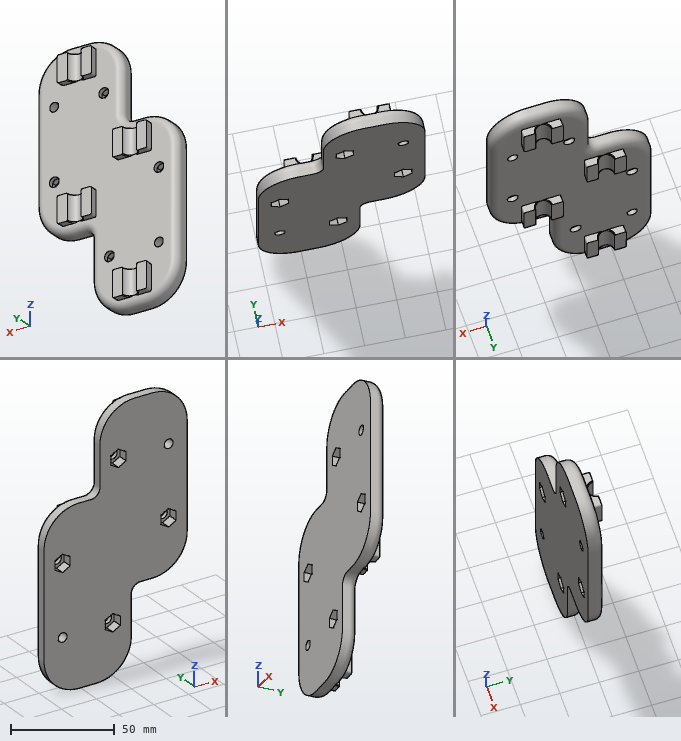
import cadquery as cq

lobe_width = 50.0
lobe_height = 100.0
upper_shift_x = 32.0
upper_shift_z = 48.0
lobe_corner_radius = 20.0
inner_corner_radius = 5.0
lower_center = (-upper_shift_x / 2, -upper_shift_z / 2)
upper_center = (upper_shift_x / 2, upper_shift_z / 2)

plate_thickness = 8.0
rim_radius = plate_thickness / 2

pad_width = 20.0
pad_height = 15.0
pad_depth = 4.0
pad_corner_radius = 1.0
pad_end_margin = 5.0
pad_offset_z = (lobe_height - pad_height) / 2 - pad_end_margin
groove_radius = pad_depth
groove_flare = 0.5

hole_offset_x = 14.4
hole_offset_z = 20.0
plain_hole_diameter = 5.0
nut_hole_diameter = 5.5
nut_corner_diameter = 9.9
nut_pocket_depth = 5.5


def plane_at(y):
    """Workplane with local axes X and Z at the given Y; negative extrusions run towards +Y."""
    return cq.Workplane("XZ", origin=(0, y, 0))


def make_plate():
    plate = plane_at(0).pushPoints([lower_center, upper_center])
    plate = plate.rect(lobe_width, lobe_height).extrude(-plate_thickness)

    corner_x = (lobe_width - upper_shift_x) / 2
    corner_z = (lobe_height - upper_shift_z) / 2
    clearance = 1.5
    near_middle = cq.selectors.BoxSelector(
        (-corner_x - clearance, -clearance, -corner_z - clearance),
        (corner_x + clearance, plate_thickness + clearance, corner_z + clearance),
    )
    all_corners = cq.selectors.ParallelDirSelector(cq.Vector(0, 1, 0))
    inner_corners = cq.selectors.AndSelector(all_corners, near_middle)
    outer_corners = cq.selectors.SubtractSelector(all_corners, near_middle)

    plate = plate.edges(outer_corners).fillet(lobe_corner_radius)
    plate = plate.edges(inner_corners).fillet(inner_corner_radius)
    return plate.faces(">Y").edges().fillet(rim_radius)


def make_groove():
    """Round cable groove along Z, widened by a small chamfer at both ends of its pad."""
    half_length = pad_height / 2
    mouth_radius = groove_radius + groove_flare
    half_profile = [
        (0, -half_length),
        (mouth_radius, -half_length),
        (groove_radius, groove_flare - half_length),
        (groove_radius, half_length - groove_flare),
        (mouth_radius, half_length),
        (0, half_length),
    ]
    return plane_at(0).polyline(half_profile).close().revolve(360, (0, 0), (0, 1))


def make_pad():
    """Pad standing on the back of the plate, grooved down to the plate surface."""
    block = plane_at(plate_thickness).rect(pad_width, pad_height).extrude(-pad_depth)
    block = block.edges("|Y").fillet(pad_corner_radius)
    return block.cut(make_groove().translate((0, plate_thickness + pad_depth, 0)))


def make_through_hole(diameter):
    return plane_at(0).circle(diameter / 2).extrude(-plate_thickness)


def make_nut_hole():
    """Through hole with a hexagonal nut pocket in the front face, two hexagon corners along Z."""
    pocket = plane_at(0).polygon(6, nut_corner_diameter).extrude(-nut_pocket_depth)
    pocket = pocket.rotate((0, 0, 0), (0, 1, 0), 30)
    return make_through_hole(nut_hole_diameter).union(pocket)


result = make_plate()

pad = make_pad()
for center_x, center_z in (lower_center, upper_center):
    for end in (-1, 1):
        result = result.union(pad.translate((center_x, 0, center_z + end * pad_offset_z)))

plain_hole = make_through_hole(plain_hole_diameter)
nut_hole = make_nut_hole()
for side, (center_x, center_z) in ((-1, lower_center), (1, upper_center)):
    outer_x = center_x + side * hole_offset_x
    inner_x = center_x - side * hole_offset_x
    outer_z = center_z + side * hole_offset_z
    inner_z = center_z - side * hole_offset_z
    result = result.cut(plain_hole.translate((outer_x, 0, outer_z)))
    result = result.cut(nut_hole.translate((inner_x, 0, outer_z)))
    result = result.cut(nut_hole.translate((outer_x, 0, inner_z)))